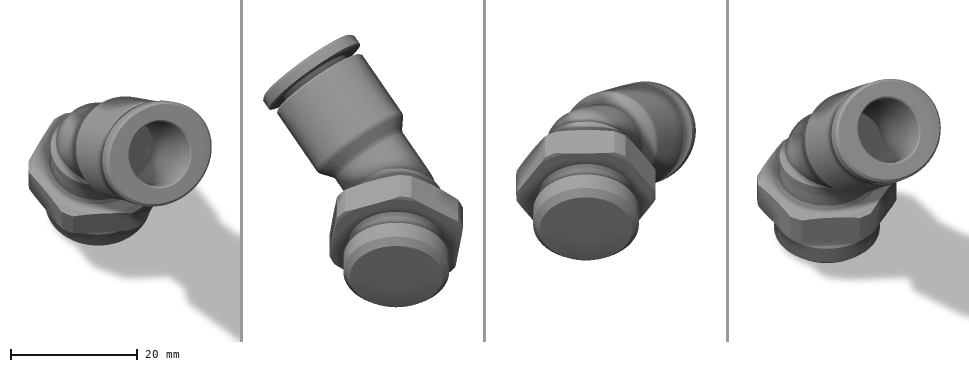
import cadquery as cq
import math

flange_r = 8.35
flange_top = 3.97
end_chamfer = 1.05
neck_r = 7.3
neck_bottom = 4.5
neck_shoulder_r = 7.6
neck_cone_h = 0.52
neck_top_r = 7.55

hex_sides = 6
hex_flats = 20.0
hex_corner_r = 11.0
hex_bottom = 7.0
hex_top = 12.0
hex_top_chamfer_w = 0.95
hex_top_chamfer_h = 0.32
hex_bottom_chamfer_w = 0.52
hex_bottom_chamfer_h = 0.15

collar_foot_r = 8.15
collar_base_r = 7.65
collar_base_z = 12.5
collar_mid_r = 7.45
collar_mid_z = 14.57
collar_top_z = 16.2
elbow_z = 17.1

branch_angle = 45
tube_r = 6.45
cone_start = 7.9
cone_end = 10.05
socket_r = 8.15
socket_fillet = 1.0
socket_end = 21.72
socket_chamfer = 0.3

sleeve_r = 5.85
lip_start = 22.95
lip_end = 24.95
lip_half_width = 9.25
lip_half_height = 8.07
lip_chamfer = 0.4
bore_start = cone_end
bore_r = 5.18
bore_chamfer = 0.25


def revolve_outline(points):
    """Solid of revolution about Z from (radius, height) points, closed along the axis."""
    outline = [(0, points[0][1])] + points + [(0, points[-1][1])]
    return cq.Workplane("XZ").polyline(outline).close().revolve(360, (0, 0), (0, 1))


def make_stem():
    return revolve_outline([
        (flange_r - end_chamfer, 0),
        (flange_r, end_chamfer),
        (flange_r, flange_top),
        (neck_shoulder_r, neck_bottom),
        (neck_r, neck_bottom),
        (neck_r, hex_bottom - neck_cone_h),
        (neck_top_r, hex_bottom),
        (collar_foot_r, hex_bottom),
        (collar_foot_r, hex_top),
        (collar_base_r, collar_base_z),
        (collar_mid_r, collar_mid_z),
        (collar_mid_r, collar_top_z),
        (tube_r, elbow_z),
    ])


def make_hexagon():
    across_corners = hex_flats / math.cos(math.pi / hex_sides)
    height = hex_top - hex_bottom
    prism = cq.Workplane("XY").workplane(offset=hex_bottom).polygon(hex_sides, across_corners).extrude(height)
    turned = revolve_outline([
        (hex_corner_r - hex_bottom_chamfer_w, hex_bottom),
        (hex_corner_r, hex_bottom + hex_bottom_chamfer_h),
        (hex_corner_r, hex_top - hex_top_chamfer_h),
        (hex_corner_r - hex_top_chamfer_w, hex_top),
    ])
    return prism.intersect(turned)


def make_lip():
    lip = (
        cq.Workplane("XY")
        .workplane(offset=lip_start)
        .ellipse(lip_half_height, lip_half_width)
        .extrude(lip_end - lip_start)
    )
    return lip.faces(">Z").edges().chamfer(lip_chamfer)


def incline(body):
    """Tilt a body modelled along Z towards +X and move it to the elbow centre."""
    return body.rotate((0, 0, 0), (0, 1, 0), branch_angle).translate((0, 0, elbow_z))


def make_branch():
    body = revolve_outline([
        (tube_r, 0),
        (tube_r, cone_start),
        (socket_r, cone_end),
        (socket_r, socket_end - socket_chamfer),
        (socket_r - socket_chamfer, socket_end),
        (sleeve_r, socket_end),
        (sleeve_r, lip_start),
    ])
    for cone_edge_z in (cone_start, cone_end):
        body = body.edges(cq.NearestToPointSelector((0, 0, cone_edge_z))).fillet(socket_fillet)
    elbow = cq.Workplane("XY").sphere(tube_r)
    return incline(body.union(elbow).union(make_lip()))


def make_bore():
    return incline(revolve_outline([
        (bore_r, bore_start),
        (bore_r, lip_end - bore_chamfer),
        (bore_r + bore_chamfer, lip_end),
    ]))


result = make_stem().union(make_hexagon()).union(make_branch()).cut(make_bore())